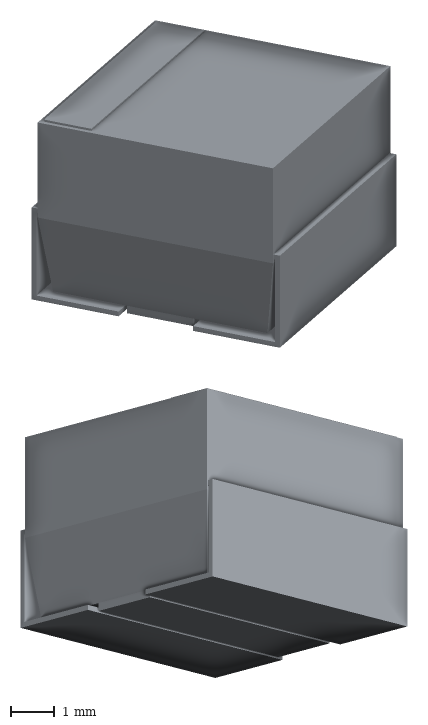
import cadquery as cq

overall_width = 6.3
overall_height = 4.55

housing_width = 5.97
housing_depth = 6.3
housing_base_z = 0.19
taper_top_z = 2.105
taper_inset = 0.265
foot_width = 1.69

marker_thickness = 0.05
marker_width = 1.205
marker_margin = 0.11

terminal_thickness = 0.12
terminal_height = 2.32
terminal_depth = 6.25
terminal_foot_length = 2.205

housing_top_z = overall_height - marker_thickness
housing_base_width = housing_width - 2 * taper_inset
housing_base_depth = housing_depth - 2 * taper_inset


def make_housing():
    """Moulded block whose lower half narrows towards a central foot."""
    upper = (
        cq.Workplane("XY", origin=(0, 0, taper_top_z))
        .rect(housing_width, housing_depth)
        .extrude(housing_top_z - taper_top_z)
    )
    lower = (
        cq.Workplane("XY", origin=(0, 0, housing_base_z))
        .rect(housing_base_width, housing_base_depth)
        .workplane(offset=taper_top_z - housing_base_z)
        .rect(housing_width, housing_depth)
        .loft(ruled=True)
    )
    foot = cq.Workplane("XY").rect(foot_width, housing_base_depth).extrude(housing_base_z)
    return upper.union(lower).union(foot)


def make_marker():
    """Thin strip on the housing top, along its -X edge."""
    center_x = -housing_width / 2 + marker_margin + marker_width / 2
    return (
        cq.Workplane("XY", origin=(center_x, 0, housing_top_z))
        .rect(marker_width, housing_depth - 2 * marker_margin)
        .extrude(marker_thickness)
    )


def make_terminal(side):
    """C-shaped strip on the given X side (-1 or +1), its top lip touching the housing."""
    outer_x = side * overall_width / 2
    inner_x = side * (overall_width / 2 - terminal_thickness)
    lip_x = side * housing_width / 2
    foot_x = side * (overall_width / 2 - terminal_foot_length)
    lip_base_z = terminal_height - terminal_thickness
    return (
        cq.Workplane("XZ")
        .moveTo(outer_x, 0)
        .lineTo(outer_x, terminal_height)
        .lineTo(lip_x, terminal_height)
        .lineTo(lip_x, lip_base_z)
        .lineTo(inner_x, lip_base_z)
        .lineTo(inner_x, terminal_thickness)
        .lineTo(foot_x, terminal_thickness)
        .lineTo(foot_x, 0)
        .close()
        .extrude(terminal_depth / 2, both=True)
    )


housing = make_housing()
marker = make_marker()
terminals = [make_terminal(side) for side in (-1, 1)]

result = cq.Compound.makeCompound(
    [housing.val(), marker.val(), *[terminal.val() for terminal in terminals]]
)